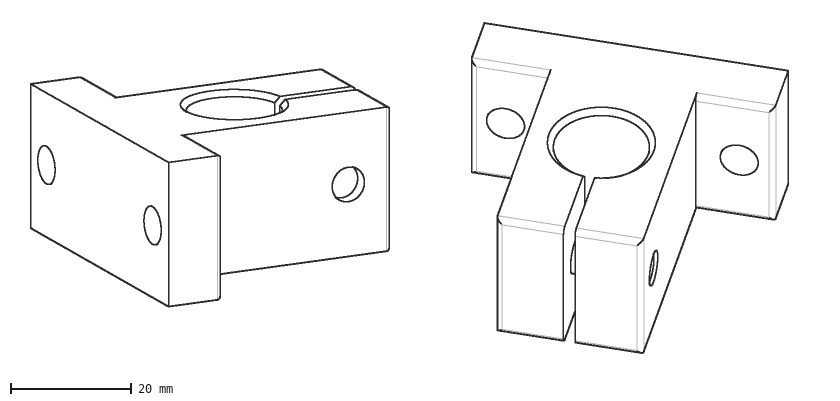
import cadquery as cq

flange_length = 52.0
total_depth = 48.0
height = 25.0
flange_thickness = 10.0
stem_width = 25.0
edge_radius = 1.0

bore_diameter = 16.0
bore_y = 25.0
bore_chamfer = 1.0
slot_width = 2.0

mount_hole_diameter = 6.5
mount_hole_spacing = 40.0

screw_y = 40.0
shank_diameter = 6.0
tip_diameter = 4.95
screw_recess = 2.55
screw_end_x = stem_width / 2 - screw_recess
countersink_depth = (shank_diameter - tip_diameter) / 2


def rod_along_x(diameter, start_x, end_x):
    """Round rod on the screw axis."""
    return (
        cq.Workplane("YZ", origin=(start_x, screw_y, 0))
        .circle(diameter / 2)
        .extrude(end_x - start_x)
    )


def rounded_block(width, depth):
    """Block from Y = 0 with the edges of its rear face rounded."""
    block = cq.Workplane("XY").box(width, depth, height, centered=(True, False, True))
    return block.faces(">Y").edges().fillet(edge_radius)


def cut_bore(body):
    """Shaft bore, chamfered at both mouths."""
    radius = bore_diameter / 2
    outer_radius = radius + bore_chamfer
    top = height / 2
    shoulder = top - bore_chamfer
    profile = [
        (0, -top),
        (outer_radius, -top),
        (radius, -shoulder),
        (radius, shoulder),
        (outer_radius, top),
        (0, top),
    ]
    cutter = cq.Workplane("XZ").polyline(profile).close().revolve(360, (0, 0, 0), (0, 1, 0))
    return body.cut(cutter.translate((0, bore_y, 0)))


def cut_slot(body):
    """Clamping slot from the bore to the rear end of the stem."""
    slot = cq.Workplane("XY", origin=(0, bore_y, 0)).box(
        slot_width, total_depth - bore_y, height, centered=(True, False, True)
    )
    return body.cut(slot)


def cut_mount_holes(body):
    """Two plain holes through the flange."""
    holes = (
        cq.Workplane("XZ")
        .pushPoints([(-mount_hole_spacing / 2, 0), (mount_hole_spacing / 2, 0)])
        .circle(mount_hole_diameter / 2)
        .extrude(-flange_thickness)
    )
    return body.cut(holes)


def cut_screw_hole(body):
    """Countersunk tip hole on the -X side, wider shank hole on the +X side."""
    side_x = stem_width / 2
    tip_hole = rod_along_x(tip_diameter, -side_x, 0)
    shank_hole = rod_along_x(shank_diameter, 0, side_x)
    countersink = cq.Workplane(
        cq.Solid.makeCone(
            shank_diameter / 2,
            tip_diameter / 2,
            countersink_depth,
            pnt=cq.Vector(-side_x, screw_y, 0),
            dir=cq.Vector(1, 0, 0),
        )
    )
    return body.cut(tip_hole).cut(shank_hole).cut(countersink)


def make_support():
    flange = rounded_block(flange_length, flange_thickness)
    stem = rounded_block(stem_width, total_depth)
    body = flange.union(stem)
    body = cut_bore(body)
    body = cut_slot(body)
    body = cut_mount_holes(body)
    return cut_screw_hole(body)


def make_screw():
    """Stepped screw: full shank across the slot, narrower tip in the -X half."""
    tip = rod_along_x(tip_diameter, -screw_end_x, -slot_width / 2)
    shank = rod_along_x(shank_diameter, -slot_width / 2, screw_end_x)
    return tip.union(shank)


support = make_support()
screw = make_screw()

result = cq.Compound.makeCompound([support.solids().val(), screw.solids().val()])